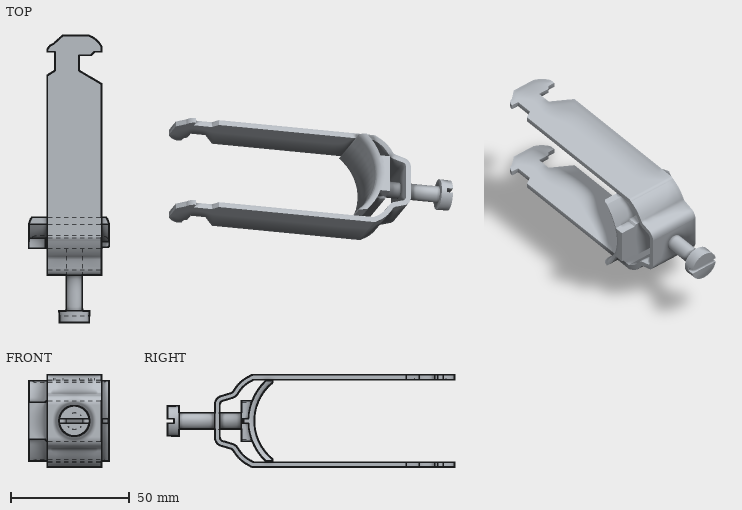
import cadquery as cq
import math


strap_width = 23.0
strap_height = 39.0
strap_length = 101.0
sheet = 2.2
half_width = strap_width / 2
half_height = strap_height / 2

arm_bend_start = (16.3, half_height)
shoulder_start = (14.6, 18.9)
shoulder_end = (7.9, 12.6)
neck_start = (6.4, 11.6)
neck_end = (3.1, 10.6)
wall_corner = (0.0, 7.0)
arm_bend_bulge = 0.18
shoulder_bulge = 0.7
neck_bulge = 0.18
corner_bulge = 0.8

neck_left = -8.2
neck_right = 2.0
neck_base_y = 86.2
left_shoulder_y = 84.1
right_shoulder_y = 80.6
hook_underside_y = 94.0
heel_underside_y = 92.6
heel_corner_x = 7.0
heel_slope_end_x = 8.5
hook_left_arc_start = (-8.8, 97.4)
hook_left_bulge = 0.7
hook_top_left_x = -4.8
hook_top_right_x = 5.8
hook_right_y = 96.3
hook_right_bulge = 0.7

shank_diameter = 6.9
head_diameter = 13.0
head_end_diameter = 12.7
head_height = 5.0
head_end_y = -20.0
head_base_y = head_end_y + head_height
collar_diameter = 7.1
collar_length = 0.7
screw_slot_width = 1.8
screw_slot_depth = 2.8

saddle_left_x = -19.2
saddle_right_x = 14.8
saddle_height = 33.9
saddle_tip_y = 24.5
trough_radius = 20.8
trough_bottom_y = 16.7
trough_wall = 2.5
trough_axis_y = trough_bottom_y + trough_radius
rim_radius = 3.3
pad_face_y = 11.3
pad_left_height = 15.6
pad_height = 17.2
pad_step_x = -12.3
pad_end_x = 11.4
rib_width = 1.8
rib_face_y = 11.7
rib_start_x = 11.9
rib_chamfer = 0.5


def block(x_range, y_range, height):
    """Box between two X and two Y positions, centred on Z = 0."""
    size_x = x_range[1] - x_range[0]
    size_y = y_range[1] - y_range[0]
    box = cq.Workplane("XY").box(size_x, size_y, height, centered=(False, False, True))
    return box.translate((x_range[0], y_range[0], 0))


def mirrored(point):
    """Reflect a (Y, Z) point across Z = 0."""
    return (point[0], -point[1])


def strap_side_outline():
    """Closed outer outline of the bent strap in the YZ plane."""
    return (
        cq.Workplane("YZ")
        .moveTo(strap_length, half_height)
        .lineTo(*arm_bend_start)
        .sagittaArc(shoulder_start, -arm_bend_bulge)
        .sagittaArc(shoulder_end, -shoulder_bulge)
        .sagittaArc(neck_start, neck_bulge)
        .lineTo(*neck_end)
        .sagittaArc(wall_corner, -corner_bulge)
        .lineTo(*mirrored(wall_corner))
        .sagittaArc(mirrored(neck_end), -corner_bulge)
        .lineTo(*mirrored(neck_start))
        .sagittaArc(mirrored(shoulder_end), neck_bulge)
        .sagittaArc(mirrored(shoulder_start), -shoulder_bulge)
        .sagittaArc(mirrored(arm_bend_start), -arm_bend_bulge)
        .lineTo(strap_length, -half_height)
        .close()
    )


def arm_plan():
    """Flat outline of the strap seen along Z, with the hook at its free end."""
    return (
        cq.Workplane("XY")
        .moveTo(-half_width, 0)
        .lineTo(half_width, 0)
        .lineTo(half_width, right_shoulder_y)
        .lineTo(neck_right, neck_base_y)
        .lineTo(neck_right, heel_underside_y)
        .lineTo(heel_corner_x, heel_underside_y)
        .lineTo(heel_slope_end_x, hook_underside_y)
        .lineTo(half_width, hook_underside_y)
        .lineTo(half_width, hook_right_y)
        .sagittaArc((hook_top_right_x, strap_length), -hook_right_bulge)
        .lineTo(hook_top_left_x, strap_length)
        .lineTo(*hook_left_arc_start)
        .sagittaArc((-half_width, hook_underside_y), -hook_left_bulge)
        .lineTo(neck_left, hook_underside_y)
        .lineTo(neck_left, neck_base_y)
        .lineTo(-half_width, left_shoulder_y)
        .close()
    )


def make_strap():
    """Bent sheet with open arms, hooked ends and a hole for the screw."""
    outside = strap_side_outline().extrude(half_width, both=True)
    inside = strap_side_outline().offset2D(-sheet).extrude(half_width, both=True)
    open_end = block(
        (-half_width, half_width),
        (strap_length / 2, strap_length),
        strap_height - 2 * sheet,
    )
    plan = arm_plan().extrude(half_height, both=True)
    screw_hole = cq.Workplane("XZ").circle(shank_diameter / 2).extrude(-sheet)
    return outside.cut(inside).cut(open_end).intersect(plan).cut(screw_hole)


def make_screw():
    """Slotted screw with a slightly tapered head and collar, ending on the pad face."""
    collar_end_y = head_base_y + collar_length
    body = (
        cq.Workplane("XY")
        .moveTo(0, head_end_y)
        .lineTo(head_end_diameter / 2, head_end_y)
        .lineTo(head_diameter / 2, head_base_y)
        .lineTo(collar_diameter / 2, head_base_y)
        .lineTo(shank_diameter / 2, collar_end_y)
        .lineTo(shank_diameter / 2, pad_face_y)
        .lineTo(0, pad_face_y)
        .close()
        .revolve(360, (0, 0, 0), (0, 1, 0))
    )
    slot = block(
        (-head_diameter / 2, head_diameter / 2),
        (head_end_y, head_end_y + screw_slot_depth),
        screw_slot_width,
    )
    return body.cut(slot)


def trough_cylinder(radius):
    """Cylinder on the trough axis over the full saddle length."""
    return (
        cq.Workplane("YZ", origin=(saddle_left_x, 0, 0))
        .center(trough_axis_y, 0)
        .circle(radius)
        .extrude(saddle_right_x - saddle_left_x)
    )


def pressure_pad():
    """Pad below the trough, narrower at its left end, with a sloped step in width."""
    step = (pad_height - pad_left_height) / 2
    return (
        cq.Workplane("XZ", origin=(0, trough_axis_y, 0))
        .moveTo(saddle_left_x, pad_left_height / 2)
        .lineTo(pad_step_x, pad_left_height / 2)
        .lineTo(pad_step_x + step, pad_height / 2)
        .lineTo(pad_end_x, pad_height / 2)
        .lineTo(pad_end_x, -pad_height / 2)
        .lineTo(pad_step_x + step, -pad_height / 2)
        .lineTo(pad_step_x, -pad_left_height / 2)
        .lineTo(saddle_left_x, -pad_left_height / 2)
        .close()
        .extrude(trough_axis_y - pad_face_y)
    )


def end_rib():
    """Thin rib that continues the pad to the right end of the trough."""
    return (
        cq.Workplane("XY")
        .moveTo(pad_end_x, trough_axis_y)
        .lineTo(pad_end_x, pad_face_y)
        .lineTo(rib_start_x, rib_face_y)
        .lineTo(saddle_right_x - rib_chamfer, rib_face_y)
        .lineTo(saddle_right_x, rib_face_y + rib_chamfer)
        .lineTo(saddle_right_x, trough_axis_y)
        .close()
        .extrude(rib_width / 2, both=True)
    )


def rim_rounding(end_x, inward):
    """Ring that rounds the inner rim of the trough; inward is the X direction into the part."""
    deep_x = end_x + inward * rim_radius
    outer_rim = trough_radius + rim_radius
    diagonal = rim_radius * math.sqrt(0.5)
    arc_mid = (deep_x - inward * diagonal, trough_axis_y - outer_rim + diagonal)
    return (
        cq.Workplane("XY")
        .moveTo(end_x, trough_axis_y - outer_rim)
        .threePointArc(arc_mid, (deep_x, trough_axis_y - trough_radius))
        .lineTo(end_x, trough_axis_y - trough_radius)
        .close()
        .revolve(360, (0, trough_axis_y, 0), (1, trough_axis_y, 0))
    )


def make_saddle():
    """Trough with rounded inner rims, its pressure pad and its end rib."""
    wall = trough_cylinder(trough_radius + trough_wall)
    solid = wall.union(pressure_pad()).union(end_rib()).cut(trough_cylinder(trough_radius))
    solid = solid.cut(rim_rounding(saddle_left_x, 1)).cut(rim_rounding(saddle_right_x, -1))
    envelope = block((saddle_left_x, saddle_right_x), (pad_face_y, saddle_tip_y), saddle_height)
    return solid.intersect(envelope)


strap = make_strap()
screw = make_screw()
saddle = make_saddle()

result = cq.Compound.makeCompound([strap.val(), screw.val(), saddle.val()])